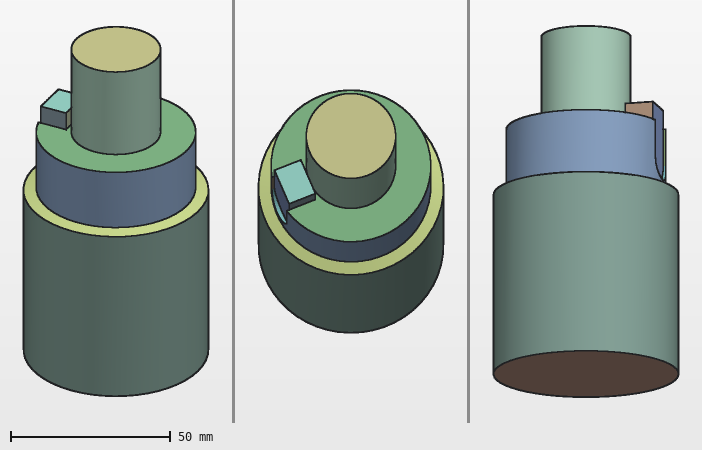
import cadquery as cq

total_height = 109.0
base_diameter = 58.0
base_height = 58.0
shoulder_rise = 1.0
collar_diameter = 50.0
stub_diameter = 28.0
stub_height = 30.0
collar_top = total_height - stub_height

key_width = 12.0
key_height = 24.0
key_projection = 6.0
key_outer_distance = 23.4
key_thickness = 8.9
key_inner_distance = key_outer_distance - key_thickness
key_top = collar_top + key_projection
key_bottom = key_top - key_height
key_arc_center = key_bottom + key_width / 2


def key_prism(start_x, length):
    """Key outline in the YZ plane, extruded toward -X from start_x."""
    half_width = key_width / 2
    return (
        cq.Workplane("YZ", origin=(start_x, 0, 0))
        .moveTo(-half_width, key_top)
        .lineTo(-half_width, key_arc_center)
        .threePointArc((0, key_bottom), (half_width, key_arc_center))
        .lineTo(half_width, key_top)
        .close()
        .extrude(-length)
    )


def make_spindle():
    """Revolved stepped body with an open-sided slot that receives the key."""
    base_radius = base_diameter / 2
    collar_radius = collar_diameter / 2
    stub_radius = stub_diameter / 2
    blank = (
        cq.Workplane("XZ")
        .moveTo(0, 0)
        .lineTo(base_radius, 0)
        .lineTo(base_radius, base_height)
        .lineTo(collar_radius, base_height + shoulder_rise)
        .lineTo(collar_radius, collar_top)
        .lineTo(stub_radius, collar_top)
        .lineTo(stub_radius, total_height)
        .lineTo(0, total_height)
        .close()
        .revolve(360, (0, 0, 0), (0, 1, 0))
    )
    slot_length = base_radius - key_inner_distance
    return blank.cut(key_prism(-key_inner_distance, slot_length))


spindle = make_spindle()
key = key_prism(-key_inner_distance, key_thickness)

result = cq.Compound.makeCompound([spindle.val(), key.val()])